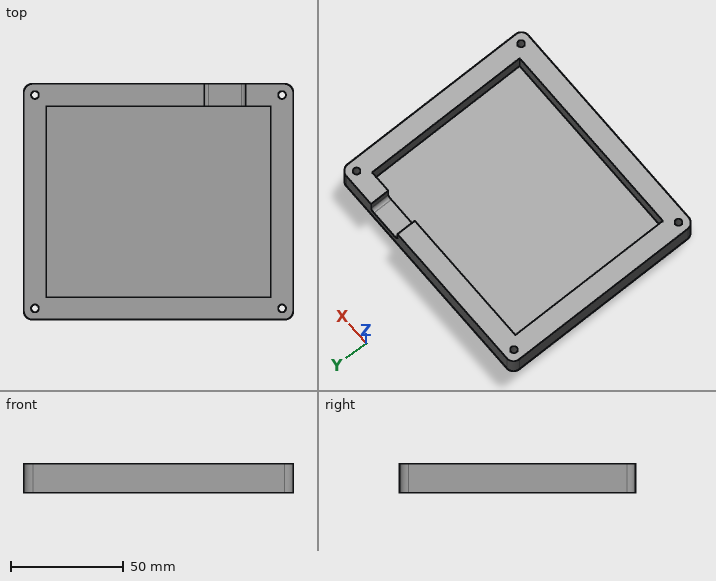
import cadquery as cq

length = 120.0
width = 105.0
height = 13.0
corner_radius = 4.0

wall = 10.0
floor_thickness = 3.0

hole_diameter = 3.4
hole_inset = 5.0

notch_width = 18.5
notch_center_x = 29.5
notch_depth = 7.0
notch_bottom_radius = 1.9


def make_block():
    block = cq.Workplane("XY").box(length, width, height, centered=(True, True, False))
    return block.edges("|Z").fillet(corner_radius)


def make_pocket():
    return (
        cq.Workplane("XY")
        .workplane(offset=floor_thickness)
        .rect(length - 2 * wall, width - 2 * wall)
        .extrude(height - floor_thickness)
    )


def make_screw_holes():
    return (
        cq.Workplane("XY")
        .rect(length - 2 * hole_inset, width - 2 * hole_inset, forConstruction=True)
        .vertices()
        .circle(hole_diameter / 2)
        .extrude(height)
    )


def make_notch():
    notch = cq.Workplane("XY").box(notch_width, wall, notch_depth, centered=(True, True, False))
    notch = notch.edges("|Y and <Z").fillet(notch_bottom_radius)
    return notch.translate((notch_center_x, (width - wall) / 2, height - notch_depth))


result = make_block().cut(make_pocket()).cut(make_screw_holes()).cut(make_notch())